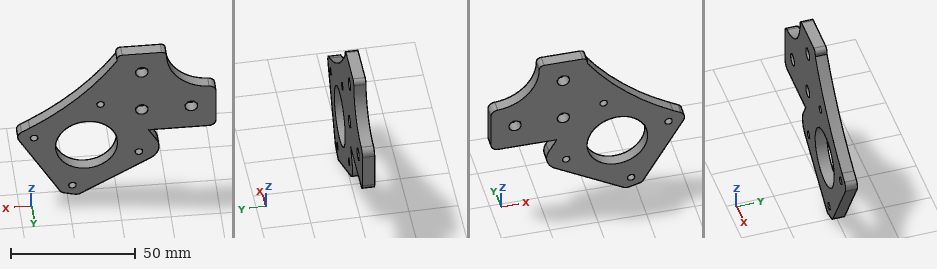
import cadquery as cq
import math

thickness = 5.0

arm_reach = 30.0
arm_half_width = 10.0
arm_bottom = -11.2
arm_hole_pitch = 20.0
arm_hole_diameter = 5.0
relief_radius = 18.0
relief_offset = arm_half_width + relief_radius
upright_tip_radius = 2.0
level_tip_radius = 3.0

motor_x = 22.33
motor_z = -16.83
motor_angle = -30.0
motor_half_width = 21.15
motor_left_side = 24.55
motor_bore_diameter = 25.0
motor_hole_pitch = 31.0
motor_hole_diameter = 3.0
motor_chamfer = 4.83
motor_corner_radius = 3.0
motor_left_radius = 7.0

brace_top = 27.1
brace_end = 14.3


def motor_point(along, across):
    """Turn a point of the flange's own axes into plate coordinates."""
    turn = math.radians(motor_angle)
    x = motor_x + along * math.cos(turn) - across * math.sin(turn)
    z = motor_z + along * math.sin(turn) + across * math.cos(turn)
    return (x, z)


def plate_point(x, z):
    """Point on the mid-thickness plane, used to pick a corner edge."""
    return (x, thickness / 2, z)


def plate_sketch():
    """Workplane whose local axes are X and Z, on the Y = thickness face."""
    return cq.Workplane("XZ", origin=(0, thickness, 0))


def round_corner(body, corner, radius):
    edge = cq.selectors.NearestToPointSelector(plate_point(*corner))
    return body.edges("|Y").edges(edge).fillet(radius)


def tangent_arc_middle(start, end):
    """Middle point of the arc from start to end that is tangent to the flange side at end."""
    turn = math.radians(motor_angle)
    side = (math.cos(turn), math.sin(turn))
    normal = (-side[1], side[0])
    chord = (start[0] - end[0], start[1] - end[1])
    rise = chord[0] * normal[0] + chord[1] * normal[1]
    radius = (chord[0] ** 2 + chord[1] ** 2) / (2 * rise)
    center = (end[0] + radius * normal[0], end[1] + radius * normal[1])
    half = ((start[0] + end[0]) / 2 - center[0], (start[1] + end[1]) / 2 - center[1])
    reach = radius / math.hypot(*half)
    return (center[0] + half[0] * reach, center[1] + half[1] * reach)


relief_run = math.sqrt(relief_radius**2 - (arm_reach - relief_offset) ** 2)
relief_middle_offset = relief_offset - relief_radius * math.sqrt(0.5)
relief_middle = (-relief_middle_offset, relief_middle_offset)
upright_inner = (-relief_offset + relief_run, arm_reach)
level_upper = (-arm_reach, relief_offset - relief_run)
upright_outer = (arm_half_width, arm_reach)
brace_start = (arm_half_width, brace_top)
brace_finish = motor_point(brace_end, motor_half_width)
flange_upper_right = motor_point(motor_half_width, motor_half_width)
chamfer_right = motor_point(motor_half_width, motor_chamfer - motor_half_width)
chamfer_left = motor_point(motor_half_width - motor_chamfer, -motor_half_width)
flange_lower_left = motor_point(-motor_left_side, -motor_half_width)
level_bottom = (-arm_reach, arm_bottom)

notch_rise = (arm_bottom - flange_lower_left[1]) / math.cos(math.radians(motor_angle))
notch = motor_point(-motor_left_side, notch_rise - motor_half_width)


def outline():
    return (
        plate_sketch()
        .moveTo(*upright_inner)
        .lineTo(*upright_outer)
        .lineTo(*brace_start)
        .threePointArc(tangent_arc_middle(brace_start, brace_finish), brace_finish)
        .lineTo(*flange_upper_right)
        .lineTo(*chamfer_right)
        .lineTo(*chamfer_left)
        .lineTo(*flange_lower_left)
        .lineTo(*notch)
        .lineTo(*level_bottom)
        .lineTo(*level_upper)
        .threePointArc(relief_middle, upright_inner)
        .close()
        .extrude(thickness)
    )


def drill(body, points, diameter):
    holes = plate_sketch().pushPoints(points).circle(diameter / 2).extrude(thickness)
    return body.cut(holes)


result = outline()
for corner, radius in [
    (upright_inner, upright_tip_radius),
    (level_upper, level_tip_radius),
    (upright_outer, upright_tip_radius),
    (flange_upper_right, motor_corner_radius),
    (chamfer_right, motor_corner_radius),
    (chamfer_left, motor_corner_radius),
    (flange_lower_left, motor_left_radius),
    (level_bottom, level_tip_radius),
]:
    result = round_corner(result, corner, radius)

arm_holes = [(0, 0), (-arm_hole_pitch, 0), (0, arm_hole_pitch)]
result = drill(result, arm_holes, arm_hole_diameter)

half_pitch = motor_hole_pitch / 2
motor_holes = [
    motor_point(along, across)
    for along in (-half_pitch, half_pitch)
    for across in (-half_pitch, half_pitch)
]
result = drill(result, motor_holes, motor_hole_diameter)
result = drill(result, [(motor_x, motor_z)], motor_bore_diameter)